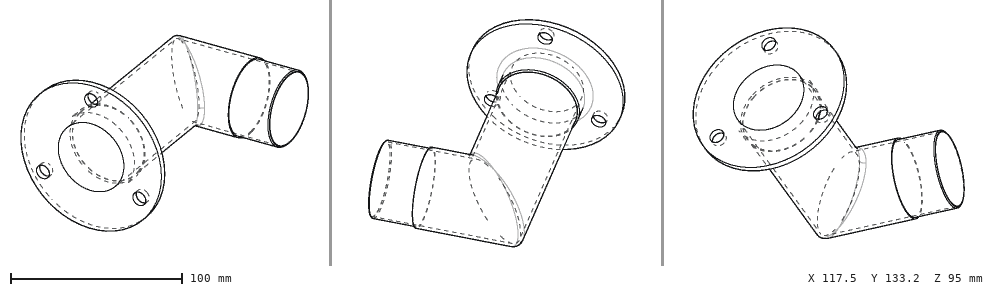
import cadquery as cq
import math

overall_length = 133.2
overall_width = 117.5

tube_diameter = 48.3
bore_diameter = 44.3
mitre_fillet = 2.9
fuse_tolerance = 0.001
tube_radius = tube_diameter / 2
outlet_axis_y = overall_length - tube_radius

spigot_diameter = 46.6
spigot_start = 43.0
spigot_chamfer = 0.7

flange_diameter = 95.0
flange_thickness = 4.0
bolt_hole_diameter = 8.7
bolt_circle_radius = 37.5
bolt_hole_count = 3
flange_radius = flange_diameter / 2
outlet_end = overall_width - flange_radius

collar_diameter = 50.6
collar_end = 20.0
collar_chamfer = 0.9
cove_radius = 4.0


def cylinder_y(diameter, start, end):
    """Cylinder about the inlet axis."""
    plane = cq.Plane(origin=(0, start, 0), xDir=(1, 0, 0), normal=(0, 1, 0))
    return cq.Workplane(plane).circle(diameter / 2).extrude(end - start)


def cylinder_x(diameter, start, end):
    """Cylinder about the outlet axis."""
    plane = cq.Plane(origin=(start, outlet_axis_y, 0), xDir=(0, 1, 0), normal=(1, 0, 0))
    return cq.Workplane(plane).circle(diameter / 2).extrude(end - start)


def mitred_elbow(diameter, outlet_length):
    """Two equal round legs along the axes, meeting in a sharp 45 degree mitre."""
    path = cq.Workplane("XY").polyline([(0, 0), (0, outlet_axis_y), (outlet_length, outlet_axis_y)])
    return cq.Workplane("XZ").circle(diameter / 2).sweep(path, transition="right")


def filleted_half(elbow, side):
    """Half of the elbow outside (side = 1) or inside (side = -1) the bend, mitre edges filleted.

    The mitre is convex outside the bend and concave inside it, so each half is filleted on its own.
    """
    bend_plane = cq.Plane(origin=(0, outlet_axis_y, 0), xDir=(0, 0, 1), normal=(-side, side, 0))
    block_size = 4 * overall_length
    half_space = cq.Workplane(bend_plane).rect(block_size, block_size).extrude(block_size)
    mitre_reach = tube_radius / 2
    mitre_zone = cq.selectors.BoxSelector(
        (-side * tube_radius, outlet_axis_y + side * tube_radius, -tube_radius),
        (-side * mitre_reach, outlet_axis_y + side * mitre_reach, tube_radius),
    )
    return elbow.intersect(half_space).edges("%ELLIPSE").edges(mitre_zone).fillet(mitre_fillet)


def tube():
    """Solid elbow with its mitre rounded outside and inside the bend."""
    elbow = mitred_elbow(tube_diameter, spigot_start)
    return filleted_half(elbow, 1).union(filleted_half(elbow, -1), tol=fuse_tolerance)


def spigot():
    """Reduced outlet end with a chamfered rim."""
    return cylinder_x(spigot_diameter, spigot_start, outlet_end).faces(">X").chamfer(spigot_chamfer)


def flange():
    """Round mounting plate."""
    return cylinder_y(flange_diameter, 0, flange_thickness)


def collar():
    """Collar with a chamfered end and a concave flare tangent to the flange."""
    collar_radius = collar_diameter / 2
    flare_radius = collar_radius + cove_radius
    cove_start = flange_thickness + cove_radius
    cove_inset = cove_radius * math.sqrt(0.5)
    cove_middle = (flare_radius - cove_inset, cove_start - cove_inset)
    return (
        cq.Workplane("XY")
        .lineTo(flare_radius, 0)
        .lineTo(flare_radius, flange_thickness)
        .threePointArc(cove_middle, (collar_radius, cove_start))
        .lineTo(collar_radius, collar_end - collar_chamfer)
        .lineTo(collar_radius - collar_chamfer, collar_end)
        .lineTo(0, collar_end)
        .close()
        .revolve(360, (0, 0, 0), (0, 1, 0))
    )


def bolt_holes():
    """Equally spaced holes through the flange, the first one at the +Z side."""
    holes = cq.Workplane("XY")
    for index in range(bolt_hole_count):
        angle = math.radians(90 + index * 360 / bolt_hole_count)
        hole_x = bolt_circle_radius * math.cos(angle)
        hole_z = bolt_circle_radius * math.sin(angle)
        hole = cylinder_y(bolt_hole_diameter, 0, flange_thickness).translate((hole_x, 0, hole_z))
        holes = holes.add(hole)
    return holes.combine()


body = tube().union(spigot()).union(collar()).union(flange())
result = body.cut(mitred_elbow(bore_diameter, outlet_end)).cut(bolt_holes())